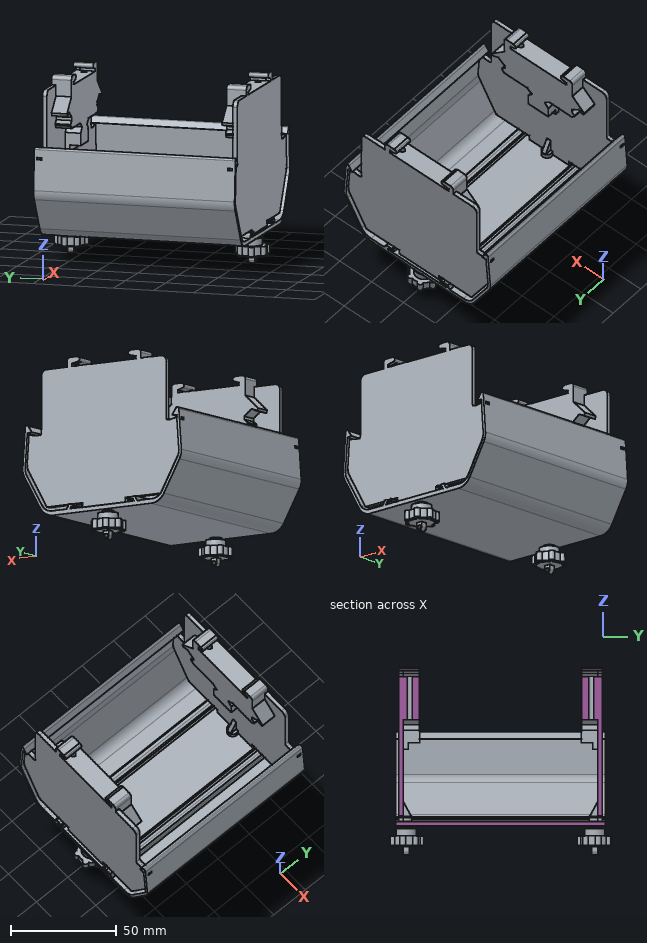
import cadquery as cq
import math

TRAY_LENGTH = 100.0
FLOOR_THICKNESS = 2.15
FLANK_THICKNESS = 1.6
WALL_THICKNESS = 1.5
FLANK_FOOT_X = 33.5
FLANK_TOP_X = 46.19
FLANK_TOP_Z = 22.0
FLOOR_BEND_RADIUS = 8.4
WALL_BEND_RADIUS = 8.0
WALL_TOP_X = 44.5
WALL_TOP_Z = 45.0

LATCH_TOP_X = 43.1
LATCH_TIP_FILLET = 0.95
LATCH_BARB_X = 40.7
LATCH_BARB_Z = 41.5
LATCH_ROOT_Z = 41.2

RAIL_FOOT_X = 20.6
RAIL_SHOULDER_X = 19.8
RAIL_SHOULDER_Z = 3.2
RAIL_BACK_X = 19.3
RAIL_INNER_X = 18.4
RAIL_LIP_X = 17.8
RAIL_GROOVE_X = 16.2
RAIL_RIDGE_X = 15.1
RAIL_TIP_X = 14.1
RAIL_TOP_Z = 4.5
RAIL_GROOVE_Z = 4.0
RAIL_ARM_LOW_Z = 3.3

BRACKET_OUTER_Y = 48.5
BRACKET_DEPTH = 10.0
PLATE_THICKNESS = 2.3
PLATE_HALF_WIDTH = 36.2
PLATE_TOP_Z = 71.2
PLATE_CORNER_RADIUS = 2.9
SHOULDER_INNER_Z = 39.75
SHOULDER_FLAT_X = 38.6
SHOULDER_OUTER_Z = 40.6
SHOULDER_FILLET = 1.0
WALL_OVERLAP = 0.05
PLATE_CONTACT_Z = 26.0
PLATE_FLANK_X = 44.05
PLATE_FLANK_Z = 23.9
PLATE_BOTTOM_X = 33.0
PLATE_BOTTOM_Z = 4.65
PLATE_FOOT_HALF_WIDTH = 12.4

HOOK_OUTER_X = 21.43
HOOK_TIP_X = 14.0
HOOK_TOP_Z = 75.75
HOOK_CORNER_RADIUS = 1.8
HOOK_ROOT_DEPTH = 1.0
HOOK_TIP_TOP_Z = 75.4
HOOK_TIP_LOW_Z = 73.3
HOOK_TIP_ROUND = 0.7
HOOK_TOP_FLAT_X = 15.6
PLATE_THROAT_X = 18.5
BLOCK_THROAT_X = 17.6
THROAT_TOP_Z = 72.5
BLOCK_FLARE_TOP_Z = 65.9
BLOCK_FLARE_X = 28.8
BLOCK_FLARE_LOW_Z = 59.0
BLOCK_BARB_X = 28.3
BLOCK_BARB_Z = 57.6
NOTCH_TOP_X = 25.1
NOTCH_TOP_Z = 59.0
NOTCH_INNER_X = 20.9
NOTCH_INNER_TOP_Z = 55.8
NOTCH_INNER_LOW_Z = 54.3
NOTCH_LIP_X = 22.8
NOTCH_LIP_Z = 52.7
NOTCH_LIP_LOW_X = 22.6
NOTCH_LIP_LOW_Z = 51.9
BLOCK_LOW_X = 21.2
BLOCK_LOW_Z = 50.5
WAIST_TOP_X = 7.0
WAIST_X = 4.0
WAIST_Z = 48.1
FOOT_HALF_WIDTH = 6.25
FOOT_TOP_Z = 45.5
FOOT_BOTTOM_Z = 39.5
FOOT_TONGUE_DEPTH = 2.3
FOOT_TONGUE_DROP = 3.0
RELEASE_HOLE_X = 14.95
RELEASE_HOLE_Y = 43.25
RELEASE_HOLE_DIAMETER = 2.7

PIP_Z = 39.7
PIP_HEIGHT = 1.1
PIP_PROUD = 0.05
PIP_Y_RANGES = ((46.25, 46.9), (47.4, 48.5))

SCREW_Y = 44.91
SHANK_RADIUS = 2.8
SPLINE_DEPTH = 0.3
SPLINE_TEETH = 30
SHANK_TOP_Z = 4.6
COLLAR_RADIUS = 4.85
COLLAR_TOP_Z = -1.25
KNOB_TOP_Z = -4.75
KNOB_BOTTOM_Z = -9.8
KNOB_CORE_RADIUS = 7.0
KNOB_RADIUS = 8.43
KNOB_LOBES = 7
KNOB_LOBE_RADIUS = 1.5
KNOB_CHAMFER = 0.6
TANG_WIDTH = 3.17
TANG_BOTTOM_Z = -13.81
TANG_HOLE_DIAMETER = 1.9
BLADE_TOP_Z = 11.5
BLADE_TOE_Y = 42.45
BLADE_WIDTH = 2.4


def lean(start, end, z):
    """X at height z on the straight line through two (x, z) points."""
    return start[0] + (end[0] - start[0]) * (z - start[1]) / (end[1] - start[1])


def mirrored_outline(right_half):
    """Closed XZ wire from the right-hand points plus their mirror images."""
    left_half = [(-x, z) for x, z in reversed(right_half)]
    return cq.Workplane("XZ").polyline(right_half + left_half).close()


def both_ends(shape):
    """The +Y feature together with its mirror image at -Y."""
    return shape.union(shape.mirror("XZ"))


def both_sides(shape):
    """The +X feature together with its mirror image at -X."""
    return shape.union(shape.mirror("YZ"))


def box_between(x0, x1, y0, y1, z0, z1):
    return cq.Workplane("XY").box(x1 - x0, y1 - y0, z1 - z0, centered=False).translate((x0, y0, z0))


outer_foot = (FLANK_FOOT_X, 0)
outer_bend = (FLANK_TOP_X, FLANK_TOP_Z)
outer_top = (WALL_TOP_X, WALL_TOP_Z)
flank_angle = math.atan2(FLANK_TOP_X - FLANK_FOOT_X, FLANK_TOP_Z)
flank_offset = FLANK_THICKNESS / math.cos(flank_angle)
inner_foot = (lean(outer_foot, outer_bend, FLOOR_THICKNESS) - flank_offset, FLOOR_THICKNESS)


def inner_wall_x(z):
    return lean(outer_bend, outer_top, z) - WALL_THICKNESS


flank_slope = (outer_bend[0] - outer_foot[0]) / (outer_bend[1] - outer_foot[1])
wall_slope = (outer_top[0] - outer_bend[0]) / (outer_top[1] - outer_bend[1])
inner_bend_z = FLANK_TOP_Z + (flank_offset - WALL_THICKNESS) / (flank_slope - wall_slope)
inner_bend = (inner_wall_x(inner_bend_z), inner_bend_z)


def bend_edges(body, corner, radius):
    """Round the pair of lengthwise edges standing at a section corner (x, z)."""
    x, z = corner
    reach = 0.05
    for side in (-1, 1):
        selector = cq.selectors.BoxSelector(
            (side * x - reach, -TRAY_LENGTH, z - reach),
            (side * x + reach, TRAY_LENGTH, z + reach),
        )
        body = body.edges(selector).fillet(radius)
    return body


def make_tray():
    outline = [
        inner_foot,
        inner_bend,
        (inner_wall_x(LATCH_ROOT_Z), LATCH_ROOT_Z),
        (LATCH_BARB_X, LATCH_BARB_Z),
        (LATCH_TOP_X, WALL_TOP_Z),
        outer_top,
        outer_bend,
        outer_foot,
    ]
    tray = mirrored_outline(outline).extrude(TRAY_LENGTH / 2, both=True)
    tray = tray.faces(">Z").edges("|Y").fillet(LATCH_TIP_FILLET)
    tray = bend_edges(tray, outer_foot, FLOOR_BEND_RADIUS)
    tray = bend_edges(tray, inner_foot, FLOOR_BEND_RADIUS - FLANK_THICKNESS)
    tray = bend_edges(tray, outer_bend, WALL_BEND_RADIUS)
    return bend_edges(tray, inner_bend, WALL_BEND_RADIUS - WALL_THICKNESS)


def make_rails():
    outline = [
        (RAIL_FOOT_X, FLOOR_THICKNESS),
        (RAIL_SHOULDER_X, RAIL_SHOULDER_Z),
        (RAIL_BACK_X, RAIL_TOP_Z),
        (RAIL_LIP_X, RAIL_TOP_Z),
        (RAIL_GROOVE_X, RAIL_GROOVE_Z),
        (RAIL_RIDGE_X, RAIL_TOP_Z),
        (RAIL_TIP_X, RAIL_GROOVE_Z),
        (RAIL_RIDGE_X, RAIL_ARM_LOW_Z),
        (RAIL_LIP_X, RAIL_ARM_LOW_Z),
        (RAIL_INNER_X, FLOOR_THICKNESS),
    ]
    rail = cq.Workplane("XZ").polyline(outline).close().extrude(TRAY_LENGTH / 2, both=True)
    return both_sides(rail)


def make_plate():
    outline = [
        (PLATE_HALF_WIDTH, PLATE_TOP_Z),
        (PLATE_HALF_WIDTH, SHOULDER_INNER_Z),
        (SHOULDER_FLAT_X, SHOULDER_INNER_Z),
        (inner_wall_x(SHOULDER_OUTER_Z) + WALL_OVERLAP, SHOULDER_OUTER_Z),
        (inner_wall_x(PLATE_CONTACT_Z) + WALL_OVERLAP, PLATE_CONTACT_Z),
        (PLATE_FLANK_X, PLATE_FLANK_Z),
        (PLATE_BOTTOM_X, PLATE_BOTTOM_Z),
        (PLATE_FOOT_HALF_WIDTH, PLATE_BOTTOM_Z),
        (PLATE_FOOT_HALF_WIDTH, FLOOR_THICKNESS),
    ]
    plate = mirrored_outline(outline).extrude(-PLATE_THICKNESS)
    plate = plate.faces(">Z").edges("|Y").fillet(PLATE_CORNER_RADIUS)
    for side in (-1, 1):
        root = cq.selectors.NearestToPointSelector(
            (side * PLATE_HALF_WIDTH, PLATE_THICKNESS / 2, SHOULDER_INNER_Z)
        )
        plate = plate.edges(root).fillet(SHOULDER_FILLET)
    return plate.translate((0, BRACKET_OUTER_Y - PLATE_THICKNESS, 0))


def make_hooks(throat_x, depth, outer_y):
    """A facing pair of hooks on top of the bracket, reaching inward from outer_y."""
    tip_middle_z = (HOOK_TIP_TOP_Z + HOOK_TIP_LOW_Z) / 2
    root_z = PLATE_TOP_Z - HOOK_ROOT_DEPTH
    hook = (
        cq.Workplane("XZ", origin=(0, outer_y, 0))
        .moveTo(HOOK_OUTER_X, root_z)
        .lineTo(HOOK_OUTER_X, HOOK_TOP_Z - HOOK_CORNER_RADIUS)
        .radiusArc((HOOK_OUTER_X - HOOK_CORNER_RADIUS, HOOK_TOP_Z), -HOOK_CORNER_RADIUS)
        .lineTo(HOOK_TOP_FLAT_X, HOOK_TOP_Z)
        .lineTo(HOOK_TIP_X + HOOK_TIP_ROUND, HOOK_TIP_TOP_Z)
        .threePointArc((HOOK_TIP_X, tip_middle_z), (HOOK_TIP_X + HOOK_TIP_ROUND, HOOK_TIP_LOW_Z))
        .lineTo(throat_x, THROAT_TOP_Z)
        .lineTo(throat_x, root_z)
        .close()
        .extrude(depth)
    )
    return both_sides(hook)


def make_clip_block():
    block_outer_y = BRACKET_OUTER_Y - PLATE_THICKNESS
    block_inner_y = BRACKET_OUTER_Y - BRACKET_DEPTH
    block_depth = block_outer_y - block_inner_y
    outline = [
        (HOOK_OUTER_X, PLATE_TOP_Z),
        (HOOK_OUTER_X, BLOCK_FLARE_TOP_Z),
        (BLOCK_FLARE_X, BLOCK_FLARE_LOW_Z),
        (BLOCK_BARB_X, BLOCK_BARB_Z),
        (NOTCH_TOP_X, NOTCH_TOP_Z),
        (NOTCH_INNER_X, NOTCH_INNER_TOP_Z),
        (NOTCH_INNER_X, NOTCH_INNER_LOW_Z),
        (NOTCH_LIP_X, NOTCH_LIP_Z),
        (NOTCH_LIP_LOW_X, NOTCH_LIP_LOW_Z),
        (BLOCK_LOW_X, BLOCK_LOW_Z),
        (WAIST_TOP_X, BLOCK_LOW_Z),
        (WAIST_X, WAIST_Z),
        (FOOT_HALF_WIDTH, FOOT_TOP_Z),
        (FOOT_HALF_WIDTH, FOOT_BOTTOM_Z),
    ]
    block = mirrored_outline(outline).extrude(block_depth).translate((0, block_outer_y, 0))
    tongue = box_between(
        -FOOT_HALF_WIDTH, FOOT_HALF_WIDTH,
        block_outer_y - FOOT_TONGUE_DEPTH, block_outer_y,
        FOOT_BOTTOM_Z - FOOT_TONGUE_DROP, FOOT_BOTTOM_Z,
    )
    block = block.union(tongue)
    return block.union(make_hooks(BLOCK_THROAT_X, block_depth, block_outer_y))


def make_bracket():
    bracket = make_plate().union(make_clip_block())
    bracket = bracket.union(make_hooks(PLATE_THROAT_X, PLATE_THICKNESS, BRACKET_OUTER_Y))
    holes = (
        cq.Workplane("XY", origin=(0, 0, PLATE_TOP_Z))
        .pushPoints([(-RELEASE_HOLE_X, RELEASE_HOLE_Y), (RELEASE_HOLE_X, RELEASE_HOLE_Y)])
        .circle(RELEASE_HOLE_DIAMETER / 2)
        .extrude(BLOCK_LOW_Z - PLATE_TOP_Z)
    )
    return bracket.cut(holes)


def make_pips():
    outer_x = lean(outer_bend, outer_top, PIP_Z) + PIP_PROUD
    pips = cq.Workplane("XY")
    for y0, y1 in PIP_Y_RANGES:
        pip = box_between(
            outer_x - WALL_THICKNESS / 2, outer_x,
            y0, y1,
            PIP_Z - PIP_HEIGHT / 2, PIP_Z + PIP_HEIGHT / 2,
        )
        pips = pips.union(pip)
    return both_sides(pips)


def make_cylinder(radius, bottom_z, top_z):
    return cq.Workplane("XY", origin=(0, 0, bottom_z)).circle(radius).extrude(top_z - bottom_z)


def make_star_head():
    core = make_cylinder(KNOB_CORE_RADIUS, KNOB_BOTTOM_Z, KNOB_TOP_Z)
    head = core.faces("<Z").chamfer(KNOB_CHAMFER)
    lobe = make_cylinder(KNOB_LOBE_RADIUS, KNOB_BOTTOM_Z, KNOB_TOP_Z)
    lobe = lobe.faces("<Z").chamfer(KNOB_CHAMFER).translate((0, KNOB_LOBE_RADIUS - KNOB_RADIUS, 0))
    for index in range(KNOB_LOBES):
        head = head.union(lobe.rotate((0, 0, 0), (0, 0, 1), 360 * index / KNOB_LOBES))
    return head


def make_tang():
    half = TANG_WIDTH / 2
    eye_z = TANG_BOTTOM_Z + half
    return (
        cq.Workplane("XZ")
        .moveTo(-half, KNOB_BOTTOM_Z)
        .lineTo(-half, eye_z)
        .threePointArc((0, TANG_BOTTOM_Z), (half, eye_z))
        .lineTo(half, KNOB_BOTTOM_Z)
        .close()
        .moveTo(0, eye_z)
        .circle(TANG_HOLE_DIAMETER / 2)
        .extrude(half, both=True)
    )


def make_blade():
    """Triangular blade from the top of the shank up against the plate."""
    plate_y = BRACKET_OUTER_Y - PLATE_THICKNESS
    return (
        cq.Workplane("YZ")
        .polyline([(BLADE_TOE_Y, SHANK_TOP_Z), (plate_y, SHANK_TOP_Z), (plate_y, BLADE_TOP_Z)])
        .close()
        .extrude(BLADE_WIDTH / 2, both=True)
    )


def make_splined_neck():
    """Finely toothed stretch of the shank between the collar and the tray floor."""
    rim = []
    for index in range(2 * SPLINE_TEETH):
        radius = SHANK_RADIUS - SPLINE_DEPTH * (index % 2)
        angle = math.pi * index / SPLINE_TEETH
        rim.append((radius * math.cos(angle), radius * math.sin(angle)))
    return cq.Workplane("XY", origin=(0, 0, COLLAR_TOP_Z)).polyline(rim).close().extrude(-COLLAR_TOP_Z)


def make_screw():
    screw = make_cylinder(SHANK_RADIUS, 0, SHANK_TOP_Z).union(make_splined_neck())
    screw = screw.union(make_cylinder(COLLAR_RADIUS, KNOB_TOP_Z, COLLAR_TOP_Z))
    screw = screw.union(make_star_head())
    screw = screw.union(make_tang())
    return screw.translate((0, SCREW_Y, 0)).union(make_blade())


tray = make_tray().union(make_rails())
end_parts = make_bracket().union(make_screw()).union(make_pips())
result = tray.union(both_ends(end_parts))